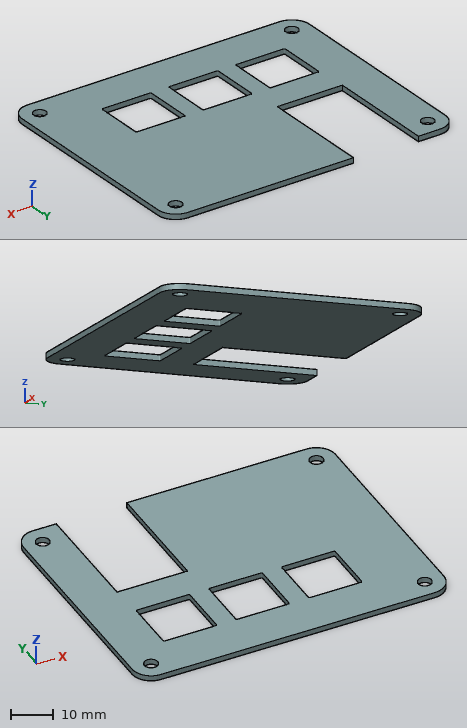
import cadquery as cq

plate_length = 81.9
plate_width = 65.2
plate_thickness = 1.5
corner_radius = 5.0

screw_hole_diameter = 3.4

notch_left = 11.1
notch_width = 18.5
notch_depth = 31.0

switch_count = 3
switch_size = 14.0
switch_pitch = 19.1
switch_left_margin = 11.7
switch_front_margin = 11.6
switch_corner_radius = 0.3


def make_plate():
    """Flat plate with rounded vertical corners."""
    plate = cq.Workplane("XY").box(plate_length, plate_width, plate_thickness, centered=False)
    return plate.edges("|Z").fillet(corner_radius)


def make_screw_holes():
    """One through hole at the center of each corner rounding."""
    centers = [
        (x, y)
        for x in (corner_radius, plate_length - corner_radius)
        for y in (corner_radius, plate_width - corner_radius)
    ]
    return cq.Workplane("XY").pushPoints(centers).circle(screw_hole_diameter / 2).extrude(plate_thickness)


def make_notch():
    """Rectangular cut that opens through the back edge."""
    notch = cq.Workplane("XY").box(notch_width, notch_depth, plate_thickness, centered=False)
    return notch.translate((notch_left, plate_width - notch_depth, 0))


def make_switch_openings():
    """Evenly spaced square openings with slightly rounded corners."""
    first_x = switch_left_margin + switch_size / 2
    row_y = switch_front_margin + switch_size / 2
    centers = [(first_x + i * switch_pitch, row_y) for i in range(switch_count)]
    openings = cq.Workplane("XY").pushPoints(centers).rect(switch_size, switch_size).extrude(plate_thickness)
    return openings.edges("|Z").fillet(switch_corner_radius)


result = make_plate().cut(make_screw_holes()).cut(make_notch()).cut(make_switch_openings())